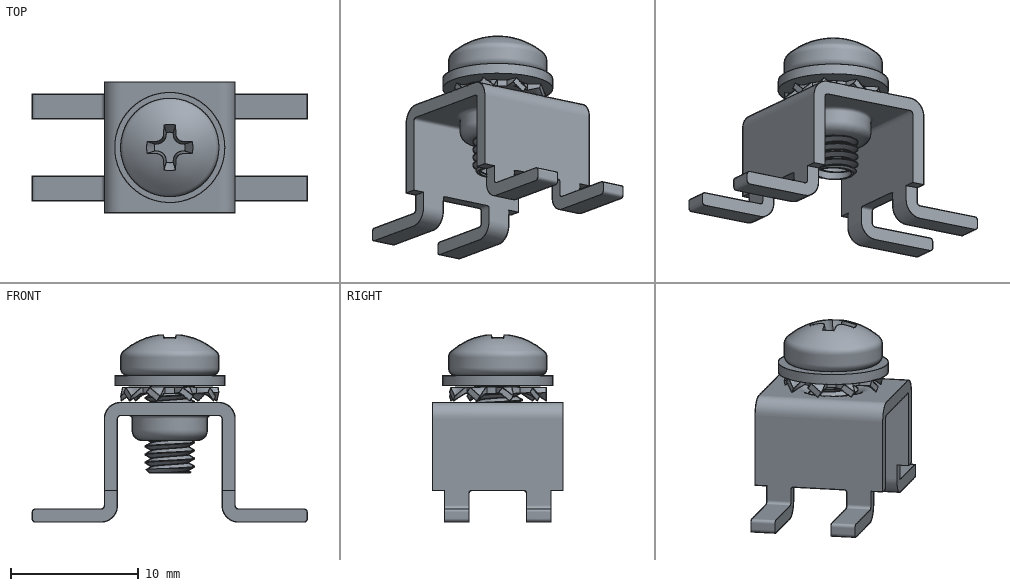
import cadquery as cq
import math


bracket_width = 10.3
bracket_depth = 10.3
bracket_top = 9.42
sheet = 1.04
inner_bend = 0.26
outer_bend = inner_bend + sheet
foot_span = 21.63
foot_tip_radius = 0.26
shoulder_height = 2.475
leg_inner = 2.25
leg_outer = 4.2
shoulder_radius = 0.2

boss_radius = 2.96
boss_bottom = 6.42
boss_edge_radius = 0.79
boss_root_radius = 0.26
bore_entry_radius = 0.98

thread_radius = 1.95
thread_root_radius = 1.48
thread_pitch = 0.635
thread_crest_width = 0.06
thread_root_width = 0.04
thread_ridge_overlap = 0.05
thread_start = 3.10
thread_tip_radius = 1.6
screw_bottom = 3.88

head_radius = 3.87
head_bottom = 11.53
head_apex = 14.81
dome_radius = 5.56
head_top_radius = 0.62
head_bottom_radius = 0.57

recess_arm_length = 1.97
recess_arm_width = 1.0
recess_corner_radius = 0.55
recess_depth = 1.6
recess_floor_radius = 1.2
recess_side_draft = 8.0

washer_radius = 4.33
washer_thickness = 0.8
washer_clearance = 0.05
washer_bore_radius = thread_radius + washer_clearance

lock_ring_top = 10.62
lock_ring_thickness = 0.49
lock_ring_radius = 2.87
tooth_count = 9
tooth_first_angle = 90.0
tooth_tip_radius = 3.82
tooth_stub_radius = 2.5
tooth_root_radius = 2.92
tooth_root_width = 1.25
tooth_tip_width = 1.12
tooth_twist = 38.0
tooth_tip_height = 10.06


def cylinder(radius, bottom, top):
    return cq.Workplane("XY").workplane(offset=bottom).circle(radius).extrude(top - bottom)


def make_bent_sheet():
    """Full-depth bent sheet: top plate, two walls and two outward feet."""
    wall = bracket_width / 2
    inner_wall = wall - sheet
    plate_underside = bracket_top - sheet
    tip = foot_span / 2
    corners = [
        (tip, 0, foot_tip_radius),
        (tip, sheet, foot_tip_radius),
        (wall, sheet, inner_bend),
        (wall, bracket_top, outer_bend),
        (inner_wall, plate_underside, inner_bend),
        (inner_wall, 0, outer_bend),
    ]
    right_half = [(x, z) for x, z, _ in corners]
    outline = right_half[:4] + [(-x, z) for x, z in reversed(right_half[:4])]
    outline += [(-x, z) for x, z in reversed(right_half[4:])] + right_half[4:]
    bent = cq.Workplane("XZ").polyline(outline).close().extrude(bracket_depth / 2, both=True)
    for x, z, radius in corners:
        for side in (-1, 1):
            at_corner = cq.selectors.NearestToPointSelector((side * x, 0, z))
            bent = bent.edges("|Y").edges(at_corner).fillet(radius)
    return bent


def make_leg_blank():
    """Wall outline seen along X: full-depth walls with two legs below them."""
    middle = (shoulder_height + bracket_top) / 2
    blank = cq.Workplane("XY").box(foot_span, bracket_depth, bracket_top - shoulder_height)
    blank = blank.translate((0, 0, middle))
    leg_width = leg_outer - leg_inner
    leg_middle = (leg_outer + leg_inner) / 2
    for side in (-1, 1):
        leg = cq.Workplane("XY").box(foot_span, leg_width, shoulder_height)
        blank = blank.union(leg.translate((0, side * leg_middle, shoulder_height / 2)))
    for side in (-1, 1):
        at_shoulder = cq.selectors.NearestToPointSelector((0, side * leg_inner, shoulder_height))
        blank = blank.edges("|X").edges(at_shoulder).fillet(shoulder_radius)
    return blank


def make_boss():
    """Collar drawn down from the top plate, flared where it leaves the plate."""
    underside = bracket_top - sheet
    diagonal = math.sqrt(0.5)
    flare = boss_root_radius * (1 - diagonal)
    edge = boss_edge_radius * (1 - diagonal)
    profile = (
        cq.Workplane("XZ")
        .moveTo(0, bracket_top - sheet / 2)
        .lineTo(boss_radius + boss_root_radius, bracket_top - sheet / 2)
        .lineTo(boss_radius + boss_root_radius, underside)
        .threePointArc(
            (boss_radius + flare, underside - flare),
            (boss_radius, underside - boss_root_radius),
        )
        .lineTo(boss_radius, boss_bottom + boss_edge_radius)
        .threePointArc(
            (boss_radius - edge, boss_bottom + edge),
            (boss_radius - boss_edge_radius, boss_bottom),
        )
        .lineTo(0, boss_bottom)
        .close()
    )
    return profile.revolve(360, (0, 0, 0), (0, 1, 0))


def make_bracket():
    bracket = make_bent_sheet().intersect(make_leg_blank()).union(make_boss())
    bracket = bracket.cut(cylinder(thread_radius, boss_bottom, bracket_top))
    return bracket.faces(">Z").edges("%CIRCLE").fillet(bore_entry_radius)


def make_recess():
    """Cross recess: drafted sides, arm ends sloping in along a cone, flat floor."""
    floor = head_apex - recess_depth
    base = cq.Workplane("XY").workplane(offset=floor)
    arms = base.rect(2 * recess_arm_length, recess_arm_width).extrude(recess_depth)
    arms = arms.union(base.rect(recess_arm_width, 2 * recess_arm_length).extrude(recess_depth))
    half = recess_arm_width / 2
    for x in (-half, half):
        for y in (-half, half):
            at_corner = cq.selectors.NearestToPointSelector((x, y, floor + recess_depth / 2))
            arms = arms.edges("|Z").edges(at_corner).fillet(recess_corner_radius)
    outline = arms.faces(">Z").wires().val()
    cross = cq.Workplane("XY").add(outline).toPending().extrude(-recess_depth, taper=recess_side_draft)
    cone = (
        base.circle(recess_floor_radius)
        .workplane(offset=recess_depth)
        .circle(recess_arm_length)
        .loft()
    )
    return cross.intersect(cone)


def make_head():
    """Pan head: a spherical dome blended tangentially into a round-edged cylinder."""
    dome_center = head_apex - dome_radius
    blend_center_x = head_radius - head_top_radius
    blend_rise = math.sqrt((dome_radius - head_top_radius) ** 2 - blend_center_x ** 2)
    blend_center_z = dome_center + blend_rise
    blend_angle = math.atan2(blend_rise, blend_center_x)

    def dome_point(angle):
        return dome_radius * math.cos(angle), dome_center + dome_radius * math.sin(angle)

    def blend_point(angle):
        x = blend_center_x + head_top_radius * math.cos(angle)
        return x, blend_center_z + head_top_radius * math.sin(angle)

    underside_radius = head_radius - head_bottom_radius
    underside_inset = head_bottom_radius * (1 - math.sqrt(0.5))
    head = (
        cq.Workplane("XZ")
        .moveTo(0, head_bottom)
        .lineTo(underside_radius, head_bottom)
        .threePointArc(
            (head_radius - underside_inset, head_bottom + underside_inset),
            (head_radius, head_bottom + head_bottom_radius),
        )
        .lineTo(*blend_point(0))
        .threePointArc(blend_point(blend_angle / 2), blend_point(blend_angle))
        .threePointArc(dome_point((blend_angle + math.pi / 2) / 2), (0, head_apex))
        .close()
        .revolve(360, (0, 0, 0), (0, 1, 0))
    )
    return head.cut(make_recess())


def make_threaded_shank():
    """Root cylinder with a right-hand ridge, trimmed flat above and chamfered below."""
    thread_top = head_bottom - washer_thickness
    core = cylinder(thread_root_radius, screw_bottom, thread_top)
    ridge_base = (thread_pitch - thread_root_width) / 2
    ridge_tip = thread_crest_width / 2
    sunk_radius = thread_root_radius - thread_ridge_overlap
    helix_height = thread_top + thread_pitch - thread_start
    helix = cq.Wire.makeHelix(thread_pitch, helix_height, thread_root_radius)
    ridge = (
        cq.Workplane("XZ")
        .polyline([
            (sunk_radius, -ridge_base), (thread_root_radius, -ridge_base), (thread_radius, -ridge_tip),
            (thread_radius, ridge_tip), (thread_root_radius, ridge_base), (sunk_radius, ridge_base),
        ])
        .close()
        .sweep(cq.Workplane("XY").add(helix), isFrenet=True)
        .translate((0, 0, thread_start))
    )
    envelope_radius = thread_radius + thread_pitch / 2
    envelope = cylinder(envelope_radius, screw_bottom, thread_top)
    envelope = envelope.faces("<Z").chamfer(envelope_radius - thread_tip_radius)
    shank = core.union(ridge).intersect(envelope)
    return shank.union(cylinder(thread_radius, thread_top, head_bottom))


def make_screw():
    return make_head().union(make_threaded_shank())


def make_washer():
    washer = cylinder(washer_radius, head_bottom - washer_thickness, head_bottom)
    return washer.cut(cylinder(washer_bore_radius, head_bottom - washer_thickness, head_bottom))


def make_tooth(root_height):
    """Tooth along +X, lying flat at its root and twisted and lowered at its tip."""
    root = (
        cq.Workplane("YZ")
        .workplane(offset=tooth_root_radius)
        .center(0, root_height)
        .rect(tooth_root_width, lock_ring_thickness)
    )
    tip = (
        cq.Workplane("YZ")
        .workplane(offset=tooth_tip_radius)
        .transformed(rotate=(0, 0, -tooth_twist), offset=(0, tooth_tip_height, 0))
        .rect(tooth_tip_width, lock_ring_thickness)
    )
    twisted = cq.Solid.makeLoft([root.wires().val(), tip.wires().val()], True)
    return root.extrude(tooth_stub_radius - tooth_root_radius).union(cq.Workplane(twisted))


def make_lock_washer():
    """Flat ring with twisted teeth around its outside."""
    ring_bottom = lock_ring_top - lock_ring_thickness
    ring = cylinder(lock_ring_radius, ring_bottom, lock_ring_top)
    ring = ring.cut(cylinder(washer_bore_radius, ring_bottom, lock_ring_top))
    tooth = make_tooth(ring_bottom + lock_ring_thickness / 2)
    for index in range(tooth_count):
        angle = tooth_first_angle + index * 360 / tooth_count
        ring = ring.union(tooth.rotate((0, 0, 0), (0, 0, 1), angle))
    return ring


bracket = make_bracket()
screw = make_screw()
washer = make_washer()
lock_washer = make_lock_washer()

result = cq.Compound.makeCompound([bracket.val(), screw.val(), washer.val(), lock_washer.val()])